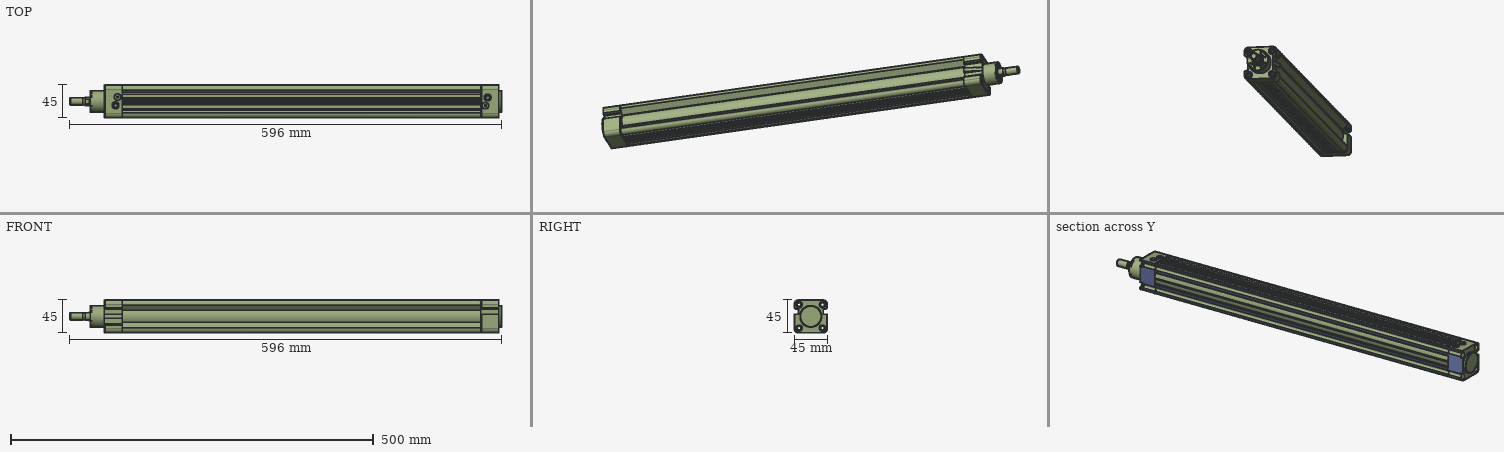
import cadquery as cq
import math


total_length = 596.0
front_face_x = 47.5
cap_length = 25.0
rear_collar_length = 4.0
rear_face_x = total_length - rear_collar_length
barrel_start_x = front_face_x + cap_length
barrel_end_x = rear_face_x - cap_length

side = 45.0
half_side = side / 2
corner_radius = 6.0
cap_chamfer_length = 1.0
cap_chamfer_depth = 0.5
bolt_offset = 16.0
bolt_hole_diameter = 5.5
bolt_head_diameter = 8.5
bolt_head_depth = 4.0

collar_diameter = 30.0
front_collar_length = 19.5
collar_face_x = front_face_x - front_collar_length
collar_chamfer = 0.5

rod_diameter = 12.0
thread_diameter = 10.0
tip_chamfer = 1.0
thread_length = 18.0
relief_length = 3.5
relief_diameter = 9.5
flats_start_x = thread_length + relief_length
flats_length = 5.5
flats_width = 10.0

seal_recess_diameter = 15.5
seal_recess_depth = 2.0
spanner_slot_count = 4
spanner_slot_length = 9.5
spanner_slot_width = 3.5
spanner_slot_depth = 2.5
spanner_slot_radius = 11.5

recess_floor_y = 17.0
recess_edge_z = 10.0
recess_chamfer = 2.0
rear_block_top_z = 3.0
ramp_width = 5.5

port_diameter = 9.5
port_depth = 3.5
port_point_depth = 3.5
port_chamfer = 2.0
port_inset = 15.5
port_y = 5.5
screw_diameter = 9.0
screw_inset = 18.5
screw_y = 6.0
screw_recess_depth = 1.0
screw_socket_diameter = 2.5
screw_socket_depth = 3.0

wall_radius = 16.0
slope_outer_z = 15.5
slope_inner_y = 15.5
slope_inner_z = 8.5
vee_outer_y = 15.5
vee_bottom_y = 12.5
vee_inner_y = 10.0
vee_depth = 3.0
sensor_slot_widths = (9.5, 6.0, 2.5)
sensor_slot_step = 1.0


def x_cylinder(diameter, start_x, length):
    return cq.Workplane("YZ", origin=(start_x, 0, 0)).circle(diameter / 2).extrude(length)


def box_between(x_range, y_range, z_range):
    ranges = (x_range, y_range, z_range)
    sizes = [high - low for low, high in ranges]
    corner = [low for low, high in ranges]
    return cq.Workplane("XY").box(*sizes, centered=False).translate(tuple(corner))


def bolt_cylinders(diameter, start_x, length):
    """Four cylinders on the bolt axes."""
    return (
        cq.Workplane("YZ", origin=(start_x, 0, 0))
        .rect(2 * bolt_offset, 2 * bolt_offset, forConstruction=True)
        .vertices()
        .circle(diameter / 2)
        .extrude(length)
    )


def rounded_bar(start_x, length):
    """Square bar with rounded long edges and the four bolt holes."""
    bar = cq.Workplane("YZ", origin=(start_x, 0, 0)).rect(side, side).extrude(length)
    bar = bar.edges("|X").fillet(corner_radius)
    return bar.cut(bolt_cylinders(bolt_hole_diameter, start_x, length))


def cap_block(start_x):
    """Square block of a cap with its -X face chamfered."""
    block = rounded_bar(start_x, cap_length)
    rim = block.faces("<X").wires().vals()[0].Edges()
    return block.newObject(rim).chamfer(cap_chamfer_length, cap_chamfer_depth)


def both_sides(cutter):
    """The given -Y shape together with its mirror image on the +Y side."""
    return cutter.union(cutter.mirror("XZ"))


def cap_recess(start_x, low_z):
    """Side recesses of a cap, from the chamfered upper edge down to low_z.

    A low_z below the axis gives a recess that is symmetric about the axis.
    """
    outer_high = recess_edge_z + recess_chamfer
    points = [
        (-half_side, outer_high),
        (-half_side + recess_chamfer, recess_edge_z),
        (-recess_floor_y, recess_edge_z),
    ]
    if low_z < 0:
        points += [(y, -z) for y, z in reversed(points)]
    else:
        points += [(-recess_floor_y, low_z), (-half_side, low_z)]
    recess = cq.Workplane("YZ", origin=(start_x, 0, 0)).polyline(points).close().extrude(cap_length)
    return both_sides(recess)


def port_cutter():
    """Drilled port below Z = 0 with a chamfered mouth and a conical bottom."""
    radius = port_diameter / 2
    bore_radius = radius - port_chamfer
    profile = [
        (0, 0),
        (radius, 0),
        (bore_radius, -port_chamfer),
        (bore_radius, -port_depth),
        (0, -port_depth - port_point_depth),
    ]
    return cq.Workplane("XZ").polyline(profile).close().revolve(360, (0, 0, 0), (0, 1, 0))


def top_fittings(face_x, inward):
    """Cutter for the port and the cushion screw in the top of a cap.

    inward is the X direction into the cap, +1 or -1; the two caps are half a turn apart about Z.
    """
    top = cq.Workplane("XY", origin=(0, 0, half_side))
    port_x = face_x + inward * port_inset
    screw_x = face_x + inward * screw_inset
    port = port_cutter().translate((port_x, -inward * port_y, half_side))
    screw = top.center(screw_x, inward * screw_y)
    recess = screw.circle(screw_diameter / 2).extrude(-screw_recess_depth)
    socket = screw.circle(screw_socket_diameter / 2).extrude(-screw_socket_depth)
    return port.union(recess).union(socket)


def spanner_slots():
    """Four straight slots set diagonally in the face of the front collar."""
    slot = cq.Workplane("XY").box(spanner_slot_depth, spanner_slot_length, spanner_slot_width)
    slot = slot.translate((collar_face_x + spanner_slot_depth / 2, 0, spanner_slot_radius))
    pitch_angle = 360 / spanner_slot_count
    slots = cq.Workplane("XY")
    for index in range(spanner_slot_count):
        slots = slots.union(slot.rotate((0, 0, 0), (1, 0, 0), (index + 0.5) * pitch_angle))
    return slots


def side_ramps():
    """Ribs that rise from the recess floor at the front to the outer side at the barrel."""
    ramp = (
        cq.Workplane("XY", origin=(0, 0, -ramp_width / 2))
        .polyline([
            (front_face_x, -recess_floor_y),
            (barrel_start_x, -recess_floor_y),
            (barrel_start_x, -half_side),
        ])
        .close()
        .extrude(ramp_width)
    )
    return both_sides(ramp)


def make_rod():
    rod = x_cylinder(rod_diameter, flats_start_x, barrel_start_x - flats_start_x)
    flats = box_between(
        (flats_start_x, flats_start_x + flats_length),
        (-rod_diameter, rod_diameter),
        (flats_width / 2, rod_diameter),
    )
    rod = rod.cut(flats).cut(flats.mirror("XY"))
    thread = x_cylinder(thread_diameter, 0, thread_length).faces("<X").chamfer(tip_chamfer)
    relief = x_cylinder(relief_diameter, thread_length, relief_length)
    return rod.union(relief).union(thread)


def make_front_cap():
    cap = cap_block(front_face_x).cut(cap_recess(front_face_x, -recess_edge_z)).union(side_ramps())
    collar = x_cylinder(collar_diameter, collar_face_x, front_collar_length)
    cap = cap.union(collar.faces("<X").chamfer(collar_chamfer))
    cap = cap.cut(x_cylinder(rod_diameter, collar_face_x, barrel_start_x - collar_face_x))
    cap = cap.cut(x_cylinder(seal_recess_diameter, collar_face_x, seal_recess_depth))
    cap = cap.cut(bolt_cylinders(bolt_head_diameter, front_face_x, bolt_head_depth))
    return cap.cut(spanner_slots()).cut(top_fittings(front_face_x, 1))


def make_rear_cap():
    cap = cap_block(barrel_end_x).cut(cap_recess(barrel_end_x, rear_block_top_z))
    collar = x_cylinder(collar_diameter, rear_face_x, rear_collar_length)
    cap = cap.union(collar.faces(">X").chamfer(collar_chamfer))
    cap = cap.cut(bolt_cylinders(bolt_head_diameter, rear_face_x - bolt_head_depth, bolt_head_depth))
    return cap.cut(top_fittings(rear_face_x, -1))


def barrel_side_recess():
    """Recesses on both sides, with sloping walls and the round wall as their floor."""
    floor_y = math.sqrt(wall_radius**2 - slope_inner_z**2)
    recess = (
        cq.Workplane("YZ", origin=(barrel_start_x, 0, 0))
        .moveTo(-half_side, slope_outer_z)
        .lineTo(-slope_inner_y, slope_inner_z)
        .lineTo(-floor_y, slope_inner_z)
        .threePointArc((-wall_radius, 0), (-floor_y, -slope_inner_z))
        .lineTo(-slope_inner_y, -slope_inner_z)
        .lineTo(-half_side, -slope_outer_z)
        .close()
        .extrude(barrel_end_x - barrel_start_x)
    )
    return both_sides(recess)


def barrel_top_grooves():
    """Two V grooves and a stepped sensor slot, in the top of the barrel."""
    length = barrel_end_x - barrel_start_x
    vee = (
        cq.Workplane("YZ", origin=(barrel_start_x, 0, 0))
        .polyline([
            (-vee_outer_y, half_side),
            (-vee_bottom_y, half_side - vee_depth),
            (-vee_inner_y, half_side),
        ])
        .close()
        .extrude(length)
    )
    grooves = both_sides(vee)
    for level, width in enumerate(sensor_slot_widths, start=1):
        grooves = grooves.union(box_between(
            (barrel_start_x, barrel_end_x),
            (-width / 2, width / 2),
            (half_side - level * sensor_slot_step, half_side),
        ))
    return grooves


def make_barrel():
    barrel = rounded_bar(barrel_start_x, barrel_end_x - barrel_start_x).cut(barrel_side_recess())
    grooves = barrel_top_grooves()
    return barrel.cut(grooves).cut(grooves.mirror("XY"))


rod = make_rod()
front_cap = make_front_cap()
barrel = make_barrel()
rear_cap = make_rear_cap()

result = cq.Compound.makeCompound([rod.val(), front_cap.val(), barrel.val(), rear_cap.val()])